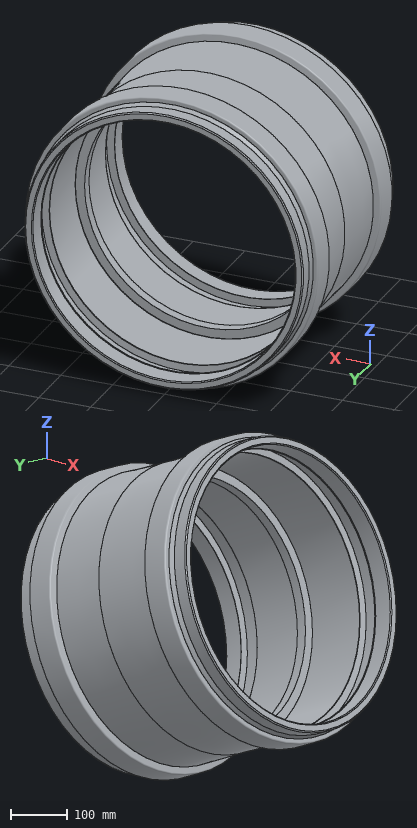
import cadquery as cq
import math


barrel_diameter = 536.66
joint_diameter = 533.5
bore_diameter = 505.6
stop_diameter = 470.18
collar_diameter = 565.0
groove_diameter = 534.5

barrel_radius = barrel_diameter / 2
joint_radius = joint_diameter / 2
bore_radius = bore_diameter / 2
stop_radius = stop_diameter / 2
collar_radius = collar_diameter / 2
groove_radius = groove_diameter / 2

total_length = 410.0
long_half_length = 216.3
short_half_length = total_length - long_half_length

taper_start = 27.5
collar_start = 36.3
collar_end = 90.5
groove_start = 39.5
groove_end = 77.5

rim_bevel_width = 2.5
rim_bevel_length = 2.0
bore_bevel_width = 2.0
bore_bevel_length = 2.0

taper_rise = 4.5
collar_fillet = 3.3
shoulder_slope_length = 1.5

groove_slope_length = 1.5
groove_bevel = 0.6

lip_diameter = 503.65
lip_radius = lip_diameter / 2
lip_length = 0.5
lip_slope_length = 1.0

stop_length = 20.0
stop_start = (total_length - stop_length) / 2
stop_end = stop_start + stop_length


def draw_half(half_length, stop_outline):
    """Closed outline of a half in (radius, distance from the open end), mouth at zero."""
    shoulder_top = collar_end - shoulder_slope_length
    fillet_radius = collar_radius - collar_fillet
    fillet_diagonal = collar_fillet * math.sqrt(0.5)
    fillet_mid_radius = fillet_radius + fillet_diagonal
    front_center = collar_start + collar_fillet
    back_center = shoulder_top - collar_fillet

    outline = cq.Workplane("XY").moveTo(barrel_radius - rim_bevel_width, 0)

    outline = outline.lineTo(barrel_radius, rim_bevel_length)
    outline = outline.lineTo(barrel_radius, taper_start)
    outline = outline.lineTo(barrel_radius + taper_rise, collar_start)
    outline = outline.lineTo(fillet_radius, collar_start)
    outline = outline.threePointArc(
        (fillet_mid_radius, front_center - fillet_diagonal), (collar_radius, front_center)
    )
    outline = outline.lineTo(collar_radius, back_center)
    outline = outline.threePointArc(
        (fillet_mid_radius, back_center + fillet_diagonal), (fillet_radius, shoulder_top)
    )
    outline = outline.lineTo(barrel_radius, collar_end)
    outline = outline.lineTo(joint_radius, half_length)

    inside = [(bore_radius, half_length)]
    inside += stop_outline
    inside += [
        (bore_radius, groove_end + groove_bevel),
        (bore_radius + groove_bevel, groove_end),
        (groove_radius, groove_end - groove_slope_length),
        (groove_radius, groove_start),
        (lip_radius, groove_start),
        (lip_radius, groove_start - lip_length),
        (bore_radius, groove_start - lip_length - lip_slope_length),
        (bore_radius, bore_bevel_length),
        (bore_radius + bore_bevel_width, 0),
    ]
    for radius, depth in inside:
        outline = outline.lineTo(radius, depth)
    return outline.close()


def make_half(half_length, stop_outline):
    """Half turned about Y, mouth facing -Y and joint face in the plane y = 0."""
    axis_start = (0, 0, 0)
    axis_end = (0, 1, 0)
    half = draw_half(half_length, stop_outline).revolve(360, axis_start, axis_end)
    return half.translate((0, -half_length, 0))


stop_outline = [
    (bore_radius, stop_end),
    (stop_radius, stop_end),
    (stop_radius, stop_start),
    (bore_radius, stop_start),
]
long_half = make_half(long_half_length, stop_outline)

short_half = make_half(short_half_length, []).mirror("XZ")

result = cq.Compound.makeCompound([long_half.val(), short_half.val()])